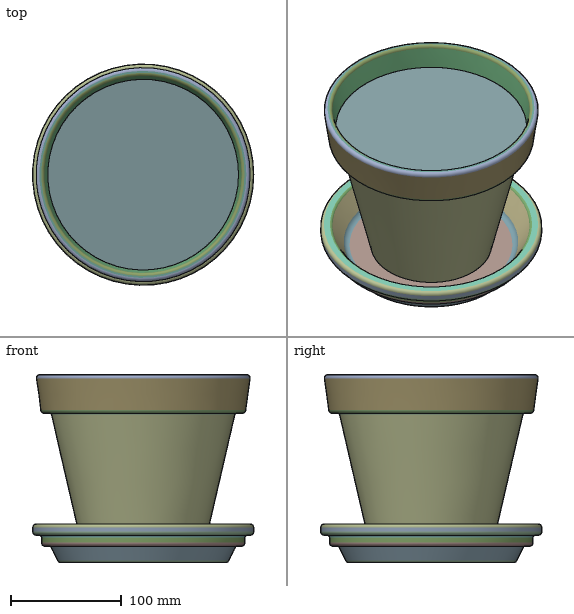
import cadquery as cq

total_height = 170.0

saucer_radius = 100.0
saucer_height = 35.0
saucer_foot_radius = 76.5
saucer_floor_height = 11.5
saucer_floor_radius = 77.2
saucer_mouth_radius = 89.8
band_radius = 92.0
band_bottom = 14.8
lip_bottom = 24.8
flare_top_radius = 83.8
lip_fillet = 3.2
band_fillet = 3.2
foot_fillet = 3.2
inside_lip_fillet = 2.5
floor_fillet = 6.0
step_fillet = 2.5
flare_fillet = 1.2

pot_base_radius = 54.5
pot_neck_radius = 83.2
rim_bottom = 135.0
rim_bottom_radius = 92.5
rim_top_radius = 97.2
pot_mouth_radius = 89.5
recess_floor_radius = 86.2
recess_depth = 22.0
rim_fillet = 3.2
pot_mouth_fillet = 2.8
neck_fillet = 1.8


def revolve_profile(points):
    """Revolve a closed (radius, height) half profile about the Z axis."""
    return cq.Workplane("XZ").polyline(points).close().revolve(360, (0, 0), (0, 1))


def round_ring(body, radius, height, fillet):
    """Fillet the circular edge with the given radius and height."""
    tolerance = 0.002

    def is_ring(edge):
        return (
            edge.geomType() == "CIRCLE"
            and abs(edge.radius() - radius) < tolerance
            and abs(edge.arcCenter().z - height) < tolerance
        )

    return body.newObject([edge for edge in body.edges().vals() if is_ring(edge)]).fillet(fillet)


def make_saucer():
    """Dish with a flared foot, a stepped band and a wide lip."""
    saucer = revolve_profile([
        (0, 0),
        (saucer_foot_radius, 0),
        (flare_top_radius, band_bottom),
        (band_radius, band_bottom),
        (band_radius, lip_bottom),
        (saucer_radius, lip_bottom),
        (saucer_radius, saucer_height),
        (saucer_mouth_radius, saucer_height),
        (saucer_floor_radius, saucer_floor_height),
        (0, saucer_floor_height),
    ])
    rings = [
        (saucer_foot_radius, 0, foot_fillet),
        (flare_top_radius, band_bottom, flare_fillet),
        (band_radius, band_bottom, band_fillet),
        (band_radius, lip_bottom, step_fillet),
        (saucer_radius, lip_bottom, lip_fillet),
        (saucer_radius, saucer_height, lip_fillet),
        (saucer_mouth_radius, saucer_height, inside_lip_fillet),
        (saucer_floor_radius, saucer_floor_height, floor_fillet),
    ]
    for radius, height, fillet in rings:
        saucer = round_ring(saucer, radius, height, fillet)
    return saucer


def make_pot():
    """Tapered pot with a thick rim around a shallow recess."""
    pot = revolve_profile([
        (0, saucer_floor_height),
        (pot_base_radius, saucer_floor_height),
        (pot_neck_radius, rim_bottom),
        (rim_bottom_radius, rim_bottom),
        (rim_top_radius, total_height),
        (pot_mouth_radius, total_height),
        (recess_floor_radius, total_height - recess_depth),
        (0, total_height - recess_depth),
    ])
    rings = [
        (pot_neck_radius, rim_bottom, neck_fillet),
        (rim_bottom_radius, rim_bottom, rim_fillet),
        (rim_top_radius, total_height, rim_fillet),
        (pot_mouth_radius, total_height, pot_mouth_fillet),
    ]
    for radius, height, fillet in rings:
        pot = round_ring(pot, radius, height, fillet)
    return pot


saucer = make_saucer()
pot = make_pot()
result = cq.Compound.makeCompound([saucer.val(), pot.val()])